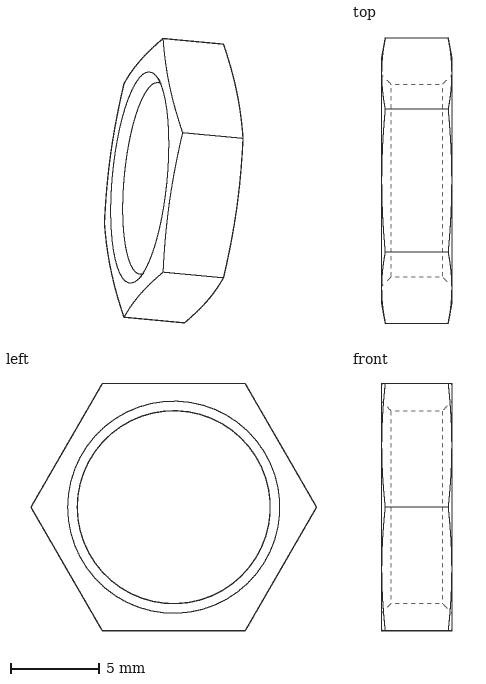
import cadquery as cq
import math

thickness = 4.0
across_flats = 14.0
across_corners = across_flats / math.cos(math.radians(30))

bore_diameter = 10.9
countersink_diameter = 12.0
countersink_angle = 45.0

face_diameter = 13.8
corner_chamfer_angle = 10.5

half_thickness = thickness / 2


def revolve_about_x(profile):
    """Revolve a closed (x, radius) profile a full turn about the X axis."""
    return cq.Workplane("XY").polyline(profile).close().revolve(360, (0, 0, 0), (1, 0, 0))


def hexagon_blank():
    return (
        cq.Workplane("YZ")
        .polygon(6, across_corners)
        .extrude(half_thickness, both=True)
    )


def chamfer_envelope():
    """Solid of revolution whose conical ends cut back the hexagon's corners."""
    face_radius = face_diameter / 2
    outer_radius = across_corners
    setback = (outer_radius - face_radius) * math.tan(math.radians(corner_chamfer_angle))
    shoulder = half_thickness - setback
    return revolve_about_x([
        (-half_thickness, 0),
        (-half_thickness, face_radius),
        (-shoulder, outer_radius),
        (shoulder, outer_radius),
        (half_thickness, face_radius),
        (half_thickness, 0),
    ])


def countersunk_bore():
    """Through bore with a countersink at each end."""
    bore_radius = bore_diameter / 2
    countersink_radius = countersink_diameter / 2
    depth = (countersink_radius - bore_radius) * math.tan(math.radians(countersink_angle))
    bore_end = half_thickness - depth
    return revolve_about_x([
        (-half_thickness, 0),
        (-half_thickness, countersink_radius),
        (-bore_end, bore_radius),
        (bore_end, bore_radius),
        (half_thickness, countersink_radius),
        (half_thickness, 0),
    ])


result = hexagon_blank().intersect(chamfer_envelope()).cut(countersunk_bore())